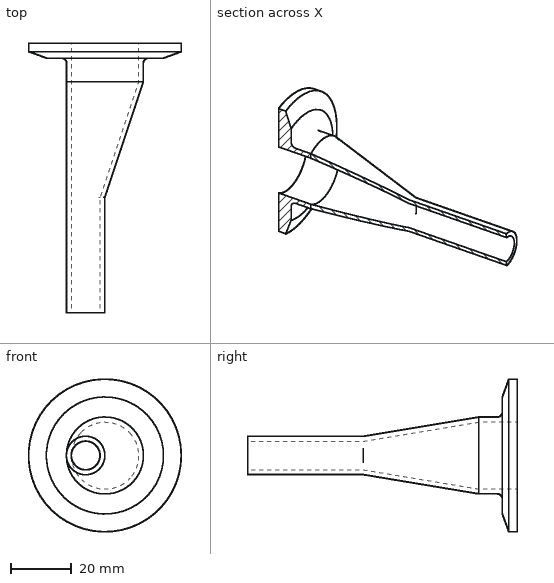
import cadquery as cq
import math


wall = 1.65
large_outer_radius = 25.4 / 2
small_outer_radius = 12.7 / 2
large_inner_radius = large_outer_radius - wall
small_inner_radius = small_outer_radius - wall

ferrule_length = 12.7
flange_radius = 50.4 / 2
flange_rim_thickness = 2.85
flange_back_radius = 19.3
flange_bevel_angle = 20
neck_fillet_radius = 1.6
flange_bevel_depth = (flange_radius - flange_back_radius) * math.tan(math.radians(flange_bevel_angle))
flange_thickness = flange_rim_thickness + flange_bevel_depth

taper_length = 38.1
small_tube_length = 38.1
small_tube_offset = small_outer_radius - large_outer_radius
taper_start = -ferrule_length
taper_end = taper_start - taper_length


def make_ferrule():
    """Clamp flange with a bevelled back and a filleted neck, turned around the Y axis."""
    fillet_mid = neck_fillet_radius * (1 - math.sqrt(0.5))
    profile = (
        cq.Workplane("XY")
        .moveTo(large_inner_radius, 0)
        .lineTo(flange_radius, 0)
        .lineTo(flange_radius, -flange_rim_thickness)
        .lineTo(flange_back_radius, -flange_thickness)
        .lineTo(large_outer_radius + neck_fillet_radius, -flange_thickness)
        .threePointArc(
            (large_outer_radius + fillet_mid, -flange_thickness - fillet_mid),
            (large_outer_radius, -flange_thickness - neck_fillet_radius),
        )
        .lineTo(large_outer_radius, -ferrule_length)
        .lineTo(large_inner_radius, -ferrule_length)
        .close()
    )
    return profile.revolve(360, (0, 0, 0), (0, 1, 0))


def make_reducer_form(large_radius, small_radius):
    """Solid slanted cone running into a straight cylinder, used for the outside and the bore."""
    taper = (
        cq.Workplane("XZ", origin=(0, taper_start, 0))
        .circle(large_radius)
        .workplane(offset=taper_length)
        .center(small_tube_offset, 0)
        .circle(small_radius)
        .loft(ruled=True)
    )
    small_tube = (
        cq.Workplane("XZ", origin=(small_tube_offset, taper_end, 0))
        .circle(small_radius)
        .extrude(small_tube_length)
    )
    return taper.union(small_tube)


def make_reducer():
    """Eccentric reducer with an even wall at both ends."""
    outside = make_reducer_form(large_outer_radius, small_outer_radius)
    bore = make_reducer_form(large_inner_radius, small_inner_radius)
    return outside.cut(bore).solids()


ferrule = make_ferrule()
reducer = make_reducer()

result = cq.Compound.makeCompound([ferrule.val(), reducer.val()])